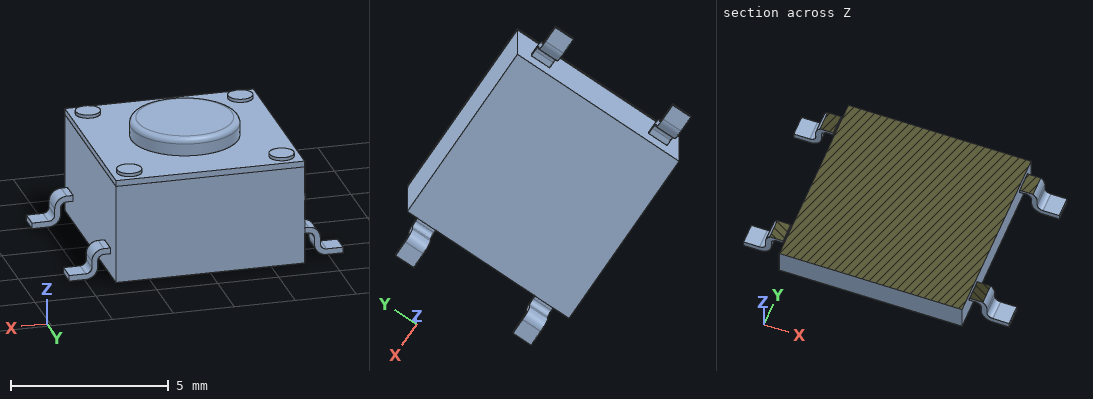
import cadquery as cq

CASE_SIDE = 6.2
CASE_HEIGHT = 3.5
COVER_THICKNESS = 0.2
HOUSING_HEIGHT = CASE_HEIGHT - COVER_THICKNESS

RIVET_DIAMETER = 0.8
RIVET_HEIGHT = 0.11
RIVET_SPACING = 5.0

OVERALL_HEIGHT = 4.1
BUTTON_DIAMETER = 3.5
BUTTON_HEIGHT = OVERALL_HEIGHT - CASE_HEIGHT
BUTTON_EDGE_RADIUS = 0.2

LEAD_SPAN = 9.0
LEAD_LENGTH = 1.35
LEAD_RISE = 1.0
LEAD_THICKNESS = 0.2
LEAD_WIDTH = 0.7
LEAD_PITCH = 4.5
FOOT_LENGTH = 0.55
BEND_INNER_RADIUS = 0.2
BEND_OUTER_RADIUS = BEND_INNER_RADIUS + LEAD_THICKNESS


def make_housing():
    return cq.Workplane("XY").box(
        CASE_SIDE, CASE_SIDE, HOUSING_HEIGHT, centered=(True, True, False)
    )


def make_cover():
    """Cover plate with a rivet head near each corner."""
    plate = (
        cq.Workplane("XY")
        .workplane(offset=HOUSING_HEIGHT)
        .box(CASE_SIDE, CASE_SIDE, COVER_THICKNESS, centered=(True, True, False))
    )
    return (
        plate.faces(">Z")
        .workplane()
        .rarray(RIVET_SPACING, RIVET_SPACING, 2, 2)
        .circle(RIVET_DIAMETER / 2)
        .extrude(RIVET_HEIGHT)
    )


def make_button():
    """Round button resting on the cover, with a rounded top edge."""
    return (
        cq.Workplane("XY")
        .workplane(offset=CASE_HEIGHT)
        .circle(BUTTON_DIAMETER / 2)
        .extrude(BUTTON_HEIGHT)
        .faces(">Z")
        .edges()
        .fillet(BUTTON_EDGE_RADIUS)
    )


def make_lead(side, y_center):
    """S-bent strip on the -X (side = -1) or +X (side = 1) side of the case."""
    tip_x = -LEAD_SPAN / 2
    end_x = tip_x + LEAD_LENGTH
    bend_x = tip_x + FOOT_LENGTH
    riser_x = bend_x + BEND_INNER_RADIUS
    riser_inner_x = riser_x + LEAD_THICKNESS
    shoulder_x = riser_x + BEND_OUTER_RADIUS
    shoulder_z = LEAD_RISE - LEAD_THICKNESS

    lead = (
        cq.Workplane("XZ", origin=(0, y_center + LEAD_WIDTH / 2, 0))
        .moveTo(tip_x, 0)
        .lineTo(bend_x, 0)
        .radiusArc((riser_inner_x, BEND_OUTER_RADIUS), -BEND_OUTER_RADIUS)
        .lineTo(riser_inner_x, shoulder_z - BEND_INNER_RADIUS)
        .radiusArc((shoulder_x, shoulder_z), BEND_INNER_RADIUS)
        .lineTo(end_x, shoulder_z)
        .lineTo(end_x, LEAD_RISE)
        .lineTo(shoulder_x, LEAD_RISE)
        .radiusArc((riser_x, LEAD_RISE - BEND_OUTER_RADIUS), -BEND_OUTER_RADIUS)
        .lineTo(riser_x, BEND_OUTER_RADIUS)
        .radiusArc((bend_x, LEAD_THICKNESS), BEND_INNER_RADIUS)
        .lineTo(tip_x, LEAD_THICKNESS)
        .close()
        .extrude(LEAD_WIDTH)
    )
    if side > 0:
        lead = lead.mirror("YZ")
    return lead


housing = make_housing()
cover = make_cover()
button = make_button()
leads = [
    make_lead(side, y_center)
    for side in (-1, 1)
    for y_center in (-LEAD_PITCH / 2, LEAD_PITCH / 2)
]

result = cq.Compound.makeCompound(
    [housing.val(), cover.val(), button.val(), *[lead.val() for lead in leads]]
)